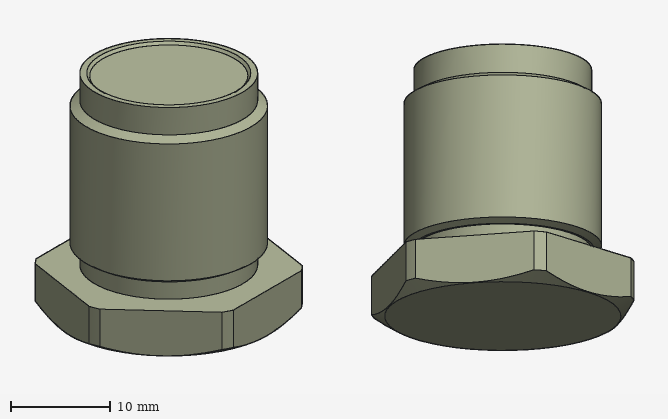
import cadquery as cq
import math

total_height = 26.0
across_flats = 24.0
corner_diameter = 27.0

head_height = 5.0
bevel_angle = math.radians(30)
bevel_flat_radius = 11.93

neck_radius = 9.0
neck_height = 2.0
body_radius = 10.0
body_top_z = 23.0
body_top_chamfer_height = (body_radius - neck_radius) * math.tan(bevel_angle)
body_bottom_chamfer_width = 0.75
body_bottom_chamfer_height = body_bottom_chamfer_width * math.tan(bevel_angle)

recess_floor_radius = 8.0
recess_depth = 0.3


def revolve_profile(points):
    """Turn a closed (radius, z) outline about the Z axis."""
    return cq.Workplane("XZ").polyline(points).close().revolve(360, (0, 0, 0), (0, 1, 0))


def make_head():
    """Hexagon with corners turned to a cylinder and a conical bevel below."""
    hexagon_diameter = across_flats / math.cos(math.pi / 6)
    hexagon = cq.Workplane("XY").polygon(6, hexagon_diameter).extrude(head_height)

    corner_radius = corner_diameter / 2
    bevel_height = (corner_radius - bevel_flat_radius) * math.tan(bevel_angle)
    envelope = revolve_profile([
        (0, 0),
        (bevel_flat_radius, 0),
        (corner_radius, bevel_height),
        (corner_radius, head_height),
        (0, head_height),
    ])
    return hexagon.intersect(envelope)


def make_shank():
    """Undercut neck, chamfered body, and top spigot with its recess."""
    body_bottom_z = head_height + neck_height
    recess_mouth_radius = recess_floor_radius + recess_depth
    recess_floor_z = total_height - recess_depth
    return revolve_profile([
        (0, head_height),
        (neck_radius, head_height),
        (neck_radius, body_bottom_z),
        (body_radius - body_bottom_chamfer_width, body_bottom_z),
        (body_radius, body_bottom_z + body_bottom_chamfer_height),
        (body_radius, body_top_z - body_top_chamfer_height),
        (neck_radius, body_top_z),
        (neck_radius, total_height),
        (recess_mouth_radius, total_height),
        (recess_floor_radius, recess_floor_z),
        (0, recess_floor_z),
    ])


result = make_head().union(make_shank())